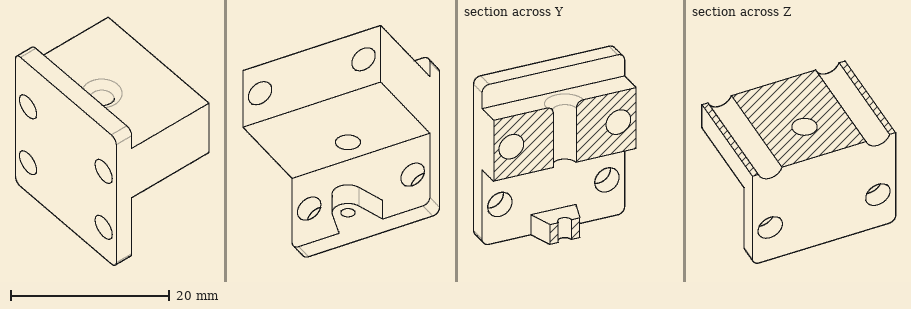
import cadquery as cq
import math

plate_width = 20.0
plate_height = 23.1
plate_thickness = 2.55
plate_corner_radius = 1.0

mount_hole_diameter = 3.4
mount_hole_spacing_x = 15.02
mount_hole_spacing_z = 10.0
lower_hole_z = 5.4
upper_hole_z = lower_hole_z + mount_hole_spacing_z

total_depth = 15.25
block_height = 8.85

bore_y = 5.9
bore_diameter = 3.16
bore_mouth_radius = 1.0

tab_base_width = 6.33
tab_height = 2.9
tab_tip_radius = 2.0
tab_hole_diameter = 1.8


def make_plate():
    return (
        cq.Workplane("XY")
        .box(plate_width, plate_thickness, plate_height, centered=(True, False, False))
        .edges("|Y")
        .fillet(plate_corner_radius)
    )


def make_block():
    block_depth = total_depth - plate_thickness
    block = cq.Workplane("XY").box(
        plate_width, block_depth, block_height, centered=(True, False, True)
    )
    return block.translate((0, plate_thickness, upper_hole_z))


def cut_bore(block):
    """Cut the vertical bore and round its upper edge."""
    bottom_z = upper_hole_z - block_height / 2
    bore = (
        cq.Workplane("XY", origin=(0, bore_y, bottom_z))
        .circle(bore_diameter / 2)
        .extrude(block_height)
    )
    return block.cut(bore).faces(">Z").edges("%CIRCLE").fillet(bore_mouth_radius)


def make_tab():
    """Tab whose straight sides run from the plate tangent to the round tip."""
    half_base = tab_base_width / 2
    tip_to_plate = bore_y - plate_thickness
    base_distance = math.hypot(half_base, tip_to_plate)
    tangent_angle = math.acos(tab_tip_radius / base_distance) - math.atan2(tip_to_plate, half_base)
    tangent_x = tab_tip_radius * math.cos(tangent_angle)
    tangent_y = bore_y + tab_tip_radius * math.sin(tangent_angle)
    tab = (
        cq.Workplane("XY")
        .moveTo(-half_base, 0)
        .lineTo(half_base, 0)
        .lineTo(half_base, plate_thickness)
        .lineTo(tangent_x, tangent_y)
        .threePointArc((0, bore_y + tab_tip_radius), (-tangent_x, tangent_y))
        .lineTo(-half_base, plate_thickness)
        .close()
        .extrude(tab_height)
    )
    hole = (
        cq.Workplane("XY", origin=(0, bore_y, 0))
        .circle(tab_hole_diameter / 2)
        .extrude(tab_height)
    )
    return tab.cut(hole)


def make_mount_holes():
    """Four cylinders through the plate; the upper pair also passes through the block."""
    middle_z = (lower_hole_z + upper_hole_z) / 2
    return (
        cq.Workplane("XZ", origin=(0, 0, middle_z))
        .rarray(mount_hole_spacing_x, mount_hole_spacing_z, 2, 2)
        .circle(mount_hole_diameter / 2)
        .extrude(-total_depth)
    )


block = cut_bore(make_block())
result = make_plate().union(block).union(make_tab()).cut(make_mount_holes())